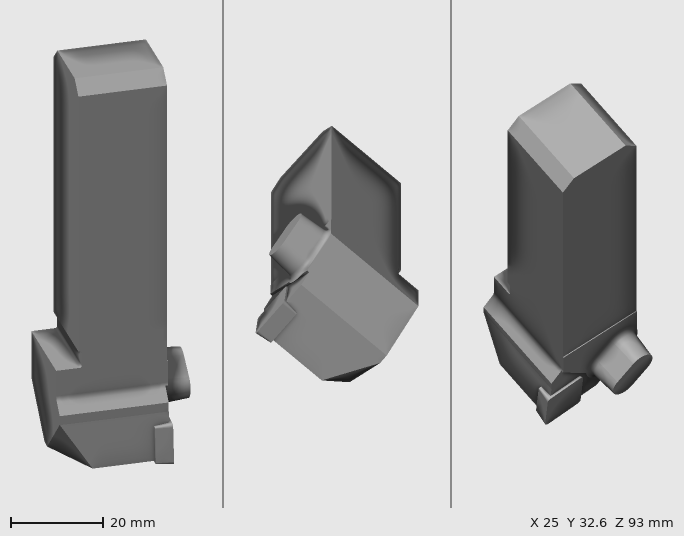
import cadquery as cq
import math


shank_width = 20.0
shank_depth = 20.0
total_height = 92.96
shank_chamfer = 3.0

foot_projection = 5.0
foot_top = 24.0
pad_thickness = 0.2
pad_top = 23.0
back_bevel_top = 12.75
bevel_end_x = 10.5
beak_x = 22.8
beak_top = 14.33
beak_bottom = 12.15
beak_fillet = 1.5

groove_height = 4.0
groove_depth = 0.8
groove_fillet = 0.5

inscribed_circle = 9.525
corner_angle = 80.0
insert_thickness = 3.97
clearance_angle = 7.0
nose_radius = 0.8
tip_x = 24.96
lead_angle = 5.0

flat_depth = 0.6
flat_offset = 3.0
bevel_offset = 10.6
bevel_angle = 40.0

cutter_size = 40.0

nozzle_rear_x = 4.55
nozzle_rear_z = 14.53
nozzle_radius = 3.2
nozzle_length = 5.46
nozzle_tilt = 38.0
nozzle_height = 7.35
nozzle_draft = 4.6
nozzle_fillet = 1.3

head_back = shank_depth + pad_thickness
foot_face = -foot_projection
lead_slope = math.tan(math.radians(lead_angle))


def profile_plane(y):
    """Workplane at the given Y with local axes X and Z; a negative extrusion runs toward +Y."""
    return cq.Workplane("XZ", origin=(0, y, 0))


def make_shank():
    shank = (
        cq.Workplane("XY", origin=(0, 0, pad_top))
        .box(shank_width, shank_depth, total_height - pad_top, centered=False)
    )
    return shank.edges("|Y and >Z").chamfer(shank_chamfer)


def make_head():
    """Foot, pad and beak as one prism along Y, ending in a corner parallel to the insert's edges."""
    back_bevel_end_z = back_bevel_top - bevel_end_x
    edge_rise = beak_bottom - back_bevel_end_z
    edge_run = beak_x - bevel_end_x
    drop = (edge_run + edge_rise * lead_slope) / (1 - lead_slope**2) * lead_slope
    corner_z = back_bevel_end_z - drop
    corner_x = beak_x + (beak_bottom - corner_z) * lead_slope
    shoulder_z = beak_top + beak_x - shank_width

    head = (
        profile_plane(foot_face)
        .moveTo(0, foot_top)
        .lineTo(0, back_bevel_top)
        .lineTo(bevel_end_x, back_bevel_end_z)
        .lineTo(corner_x, corner_z)
        .lineTo(beak_x, beak_bottom)
        .lineTo(beak_x, beak_top)
        .lineTo(shank_width, shoulder_z)
        .lineTo(shank_width, foot_top)
        .close()
        .extrude(foot_face - head_back)
    )
    shoulder_edge = cq.selectors.NearestToPointSelector((shank_width, 0.5 * shank_depth, shoulder_z))
    head = head.edges("|Y").edges(shoulder_edge).fillet(beak_fillet)
    above_pad = (
        cq.Workplane("XY", origin=(0, shank_depth, pad_top))
        .box(shank_width, pad_thickness, foot_top - pad_top, centered=False)
    )
    return head.cut(above_pad)


def make_groove():
    groove = (
        cq.Workplane("XY", origin=(0, foot_face, foot_top))
        .box(shank_width, foot_projection + groove_depth, groove_height, centered=False)
    )
    return groove.edges("|X and >Y").fillet(groove_fillet)


def make_insert():
    nose_x = tip_x - nose_radius
    nose_z = nose_radius
    half_angle = math.radians(0.5 * corner_angle)
    corner_reach = nose_radius / math.sin(half_angle) * math.sqrt(0.5)
    corner_x = nose_x + corner_reach
    corner_z = nose_z - corner_reach
    side = inscribed_circle / math.sin(math.radians(corner_angle))
    along = side * math.cos(math.radians(lead_angle))
    across = side * math.sin(math.radians(lead_angle))
    rhombus = (
        cq.Sketch()
        .polygon(
            [
                (corner_x, corner_z),
                (corner_x - across, corner_z + along),
                (corner_x - across - along, corner_z + along + across),
                (corner_x - along, corner_z + across),
                (corner_x, corner_z),
            ]
        )
        .vertices()
        .fillet(nose_radius)
    )
    return profile_plane(head_back).placeSketch(rhombus).extrude(insert_thickness, taper=clearance_angle)


def make_flat():
    """Material taken off the back of the head around the insert."""
    return (
        profile_plane(head_back)
        .polyline(
            [(0, -flat_offset), (cutter_size, cutter_size - flat_offset), (cutter_size, -flat_offset)]
        )
        .close()
        .extrude(flat_depth)
    )


def make_corner_bevel():
    """Sloping half-space that takes the front of the head away under the cutting corner."""
    start_plane = cq.Plane(origin=(bevel_offset, foot_face, 0), xDir=(1, 0, 1), normal=(0, -1, 0))
    sloping_plane = start_plane.rotated((bevel_angle, 0, 0))
    return cq.Workplane(sloping_plane).rect(2 * cutter_size, 2 * cutter_size).extrude(cutter_size)


def make_nozzle():
    """Tapered obround boss, flared at its root and cut flush with the side of the head."""
    tilt = math.radians(nozzle_tilt)
    centre_x = nozzle_rear_x + 0.5 * nozzle_length * math.cos(tilt)
    centre_z = nozzle_rear_z - 0.5 * nozzle_length * math.sin(tilt)
    end_length = nozzle_length + 2 * nozzle_radius
    boss = (
        profile_plane(head_back + nozzle_height)
        .center(centre_x, centre_z)
        .slot2D(end_length, 2 * nozzle_radius, -nozzle_tilt)
        .extrude(nozzle_height, taper=-nozzle_draft)
    )
    plate = (
        profile_plane(head_back)
        .center(centre_x, centre_z)
        .rect(cutter_size, cutter_size)
        .extrude(cutter_size)
    )
    root_zone = cq.selectors.BoxSelector(
        (centre_x - end_length, head_back - 0.5 * nozzle_height, centre_z - end_length),
        (centre_x + end_length, head_back + 0.5 * nozzle_height, centre_z + end_length),
    )
    flared = plate.union(boss).edges(root_zone).fillet(nozzle_fillet)
    kept_zone = (
        cq.Workplane("XY", origin=(0, head_back, 0))
        .box(cutter_size, cutter_size, cutter_size, centered=False)
    )
    return flared.intersect(kept_zone)


insert = make_insert()

holder = make_shank().union(make_head()).union(make_nozzle())
holder = holder.cut(make_groove()).cut(make_flat()).cut(make_corner_bevel()).cut(insert)

result = cq.Compound.makeCompound([holder.solids().val(), insert.val()])